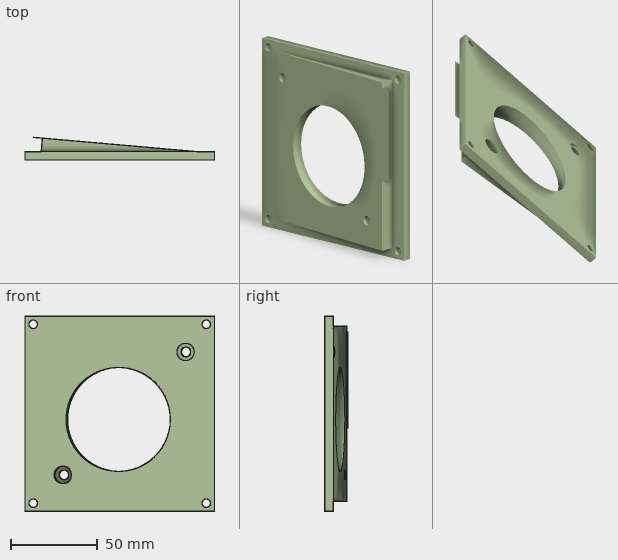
import cadquery as cq
import math

plate_width = 109.56
plate_height = 112.92
plate_thickness = 5.0
corner_hole_margin = 4.78
corner_hole_diameter = 4.8

tilt_degrees = 5.0
slope = math.tan(math.radians(tilt_degrees))
overall_depth = 13.3
pad_height = 101.2
pad_front_left = 8.9

flap_left = 4.9
flap_thickness = 0.2
flap_top = plate_height / 2 - 9.1
flap_height = 55.5
flap_overlap = 1.0

bore_diameter = 60.0
bore_x = 53.8
bore_z = -3.3
screw_hole_diameter = 5.6
counterbore_diameter = 10.0
screw_floor = 5.0
screw_spacing = 71.0
screw_pair_center_x = 57.3
screw_pair_center_z = 0.2
cutter_length = 60.0


def sloping_face_y(x):
    return overall_depth - (x - flap_left) * slope


def extrude_along_z(points, bottom, height):
    profile = cq.Workplane("XY", origin=(0, 0, bottom)).polyline(points).close()
    return profile.extrude(height)


def tilted_cylinder(x, z, diameter, start, length):
    """Cylinder square to the sloping face; start is measured along its axis from y = 0."""
    tilt = math.radians(tilt_degrees)
    axis = cq.Vector(math.sin(tilt), math.cos(tilt), 0)
    base = cq.Vector(x, 0, z) + axis * start
    return cq.Workplane(cq.Solid.makeCylinder(diameter / 2, length, base, axis))


def make_plate():
    plane = cq.Workplane("XY")
    return plane.box(plate_width, plate_thickness, plate_height, centered=(False, False, True))


def make_pad():
    top_left_x = (pad_front_left + slope * (overall_depth + flap_left * slope)) / (1 + slope**2)
    toe_x = flap_left + (overall_depth - plate_thickness) / slope
    points = [
        (pad_front_left, 0),
        (top_left_x, sloping_face_y(top_left_x)),
        (toe_x, plate_thickness),
        (toe_x, 0),
    ]
    return extrude_along_z(points, -pad_height / 2, pad_height)


def make_flap():
    right = pad_front_left + overall_depth * slope + flap_overlap
    points = [
        (flap_left, overall_depth),
        (right, sloping_face_y(right)),
        (right, sloping_face_y(right) - flap_thickness),
        (flap_left, overall_depth - flap_thickness),
    ]
    return extrude_along_z(points, flap_top - flap_height, flap_height)


def cut_corner_holes(body):
    spacing_x = plate_width - 2 * corner_hole_margin
    spacing_z = plate_height - 2 * corner_hole_margin
    holes = (
        cq.Workplane("XZ", origin=(plate_width / 2, 0, 0))
        .rect(spacing_x, spacing_z, forConstruction=True)
        .vertices()
        .circle(corner_hole_diameter / 2)
        .extrude(-plate_thickness)
    )
    return body.cut(holes)


def cut_bore(body):
    return body.cut(tilted_cylinder(bore_x, bore_z, bore_diameter, -cutter_length / 2, cutter_length))


def cut_screw_hole(body, x, z):
    axis_length = sloping_face_y(x) * math.cos(math.radians(tilt_degrees))
    half = cutter_length / 2
    body = body.cut(tilted_cylinder(x, z, screw_hole_diameter, -half, cutter_length))
    counterbore_length = half + axis_length - screw_floor
    return body.cut(tilted_cylinder(x, z, counterbore_diameter, -half, counterbore_length))


result = make_plate().union(make_pad()).union(make_flap())
result = cut_corner_holes(result)
result = cut_bore(result)
for side in (-1, 1):
    screw_x = screw_pair_center_x + side * screw_spacing / 2
    screw_z = screw_pair_center_z + side * screw_spacing / 2
    result = cut_screw_hole(result, screw_x, screw_z)